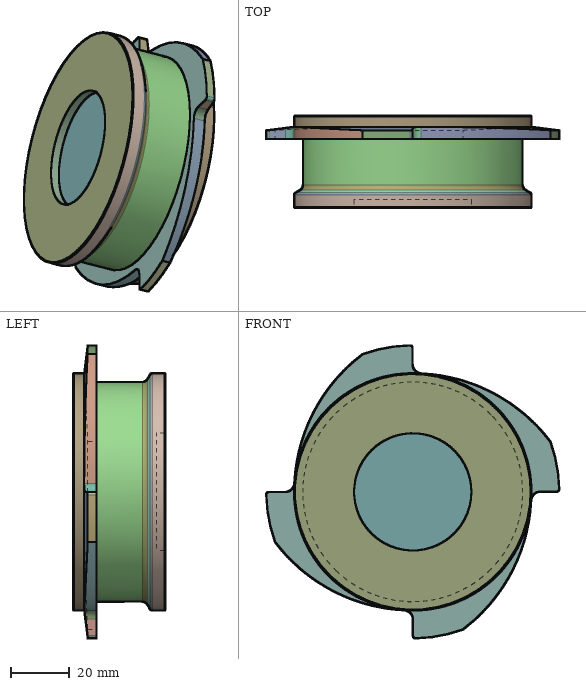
import cadquery as cq
import math

total_length = 31.5
flange_radius = 40.5
neck_radius = 37.5
front_rim_end = 5.0
shoulder_angle = 60.0
shoulder_length = (flange_radius - neck_radius) / math.tan(math.radians(shoulder_angle))
neck_start = front_rim_end + shoulder_length
rim_fillet = 1.0
neck_fillet = 2.0
edge_chamfer = 0.3

pocket_radius = 20.0
pocket_depth = 3.0

lug_count = 4
lug_radius = 50.0
lug_sweep = 20.0
root_fillet = 3.0
tip_fillet = 1.0
plate_front = 23.5
plate_back_at_flange = 27.7
plate_back_at_tip = 26.5
plate_middle = (plate_front + plate_back_at_flange) / 2

tip_x = -lug_radius * math.sin(math.radians(lug_sweep))
tip_z = lug_radius * math.cos(math.radians(lug_sweep))
ramp_offset = (lug_radius**2 - flange_radius**2) / (2 * (flange_radius + tip_x))
ramp_radius = flange_radius + ramp_offset


def point_on_arc(center_x, radius, angle):
    """Point of an arc about (center_x, 0), angle in radians from -X towards +Z."""
    return center_x - radius * math.cos(angle), radius * math.sin(angle)


def turned(points):
    """Revolve a closed (radius, y) profile about the Y axis."""
    return cq.Workplane("XY").polyline(points).close().revolve(360, (0, 0, 0), (0, 1, 0))


def near_circle(y):
    """Select the circular edges centered on the axis at height y."""
    reach = 0.1
    return cq.selectors.BoxSelector((-reach, y - reach, -reach), (reach, y + reach, reach))


def make_body():
    body = turned([
        (0, 0),
        (flange_radius, 0),
        (flange_radius, front_rim_end),
        (neck_radius, neck_start),
        (neck_radius, plate_front),
        (flange_radius, plate_front),
        (flange_radius, total_length),
        (0, total_length),
    ])
    body = body.faces("<Y or >Y").edges().chamfer(edge_chamfer)
    body = body.edges(near_circle(front_rim_end)).fillet(rim_fillet)
    return body.edges(near_circle(neck_start)).fillet(neck_fillet)


def make_cam_plate():
    """Plate with four ramped lugs and a back face that thins towards the tips."""
    ramp_angle = math.atan2(tip_z, ramp_offset - tip_x)
    ramp_middle = point_on_arc(ramp_offset, ramp_radius, ramp_angle / 2)
    tip_middle = point_on_arc(0, lug_radius, math.radians(90 - lug_sweep / 2))

    def turn(point, index):
        angle = -math.radians(360 / lug_count) * index
        x, z = point
        return (
            x * math.cos(angle) - z * math.sin(angle),
            x * math.sin(angle) + z * math.cos(angle),
        )

    outline = cq.Workplane("XZ", origin=(0, plate_front, 0)).moveTo(-flange_radius, 0)
    for index in range(lug_count):
        outline = outline.threePointArc(turn(ramp_middle, index), turn((tip_x, tip_z), index))
        outline = outline.threePointArc(turn(tip_middle, index), turn((0, lug_radius), index))
        outline = outline.lineTo(*turn((0, flange_radius), index))
    plate = outline.close().extrude(plate_front - plate_back_at_flange)

    for index in range(lug_count):
        for radius, fillet in ((flange_radius, root_fillet), (lug_radius, tip_fillet)):
            x, z = turn((0, radius), index)
            corner = cq.selectors.NearestToPointSelector((x, plate_middle, z))
            plate = plate.edges("|Y").edges(corner).fillet(fillet)

    envelope = turned([
        (0, plate_front),
        (lug_radius, plate_front),
        (lug_radius, plate_back_at_tip),
        (flange_radius, plate_back_at_flange),
        (0, plate_back_at_flange),
    ])
    return plate.intersect(envelope)


pocket = cq.Workplane("XZ").circle(pocket_radius).extrude(-pocket_depth)
result = make_body().union(make_cam_plate()).cut(pocket)